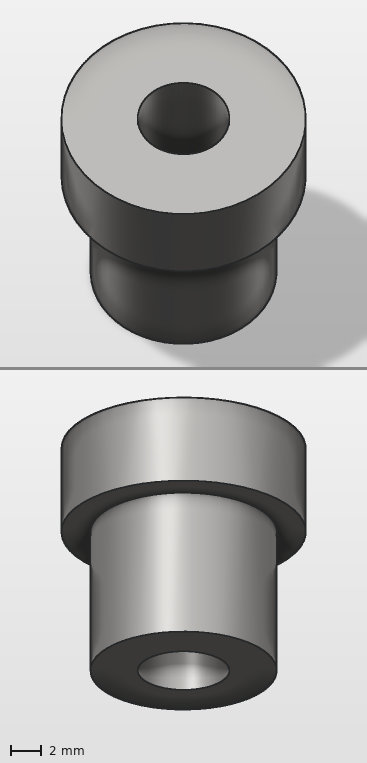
import cadquery as cq

total_height = 16.0
head_diameter = 16.0
head_height = 6.0
shank_diameter = 12.2
bore_diameter = 6.0

shank_height = total_height - head_height

shank = cq.Workplane("XY").circle(shank_diameter / 2).extrude(shank_height)

bushing = shank.faces(">Z").workplane().circle(head_diameter / 2).extrude(head_height)

result = bushing.faces(">Z").workplane().circle(bore_diameter / 2).cutThruAll()